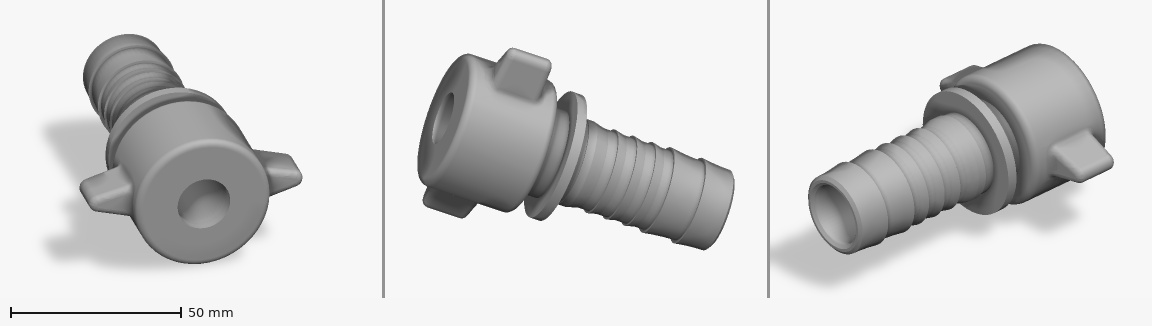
import cadquery as cq
import math

total_length = 88.5

bore_entry_diameter = 19.0
bore_exit_diameter = 16.0
bore_step_start = 50.9
bore_step_length = 0.9
tip_face_outer_diameter = 22.7
tip_face_inner_diameter = 20.9
tip_bevel_length = 0.9
tip_diameter = 24.9
root_diameter = 24.5
large_barb_diameter = 26.5
large_barb_ends = [10.0, 20.1]
barb_curve_sag = 0.2
small_barb_diameter = 25.9
small_barb_start = 23.0
small_barb_length = 2.9
small_barb_pitch = 6.0
small_barb_count = 3
stop_cone_start = 41.0
stop_start = 44.9
stop_end = 47.5
stop_diameter = 26.5
sleeve_diameter = 25.7
collar_start = 50.9
collar_thickness = 3.1
collar_diameter = 39.0
neck_diameter = 27.0

nut_start = 60.3
nut_diameter = 41.0
nut_edge_radius = 2.0
nut_center = (nut_start + total_length) / 2

wing_span = 65.0
wing_tip_y = wing_span / 2
wing_root_y = 17.7
wing_tip_length = 14.0
wing_tip_thickness = 4.1
wing_end_draft = 3.0
wing_face_draft = 14.5
wing_tip_radius = 2.6
wing_edge_radius = 1.95
wing_base_radius = 1.8

joint_reach = 9.7
joint_margin = 0.1
joint_outer_y = nut_diameter / 2 + joint_margin


def add_large_barb(profile, start, start_diameter, end):
    """Trace a slightly hollow rising flank and drop back to the root diameter."""
    middle_radius = (start_diameter + large_barb_diameter) / 4 - barb_curve_sag
    profile = profile.threePointArc(((start + end) / 2, middle_radius), (end, large_barb_diameter / 2))
    return profile.lineTo(end, root_diameter / 2)


def make_tail():
    """Revolve the barbed hose tail, its collar and its stepped bore."""
    first_end, second_end = large_barb_ends
    bevel_depth = (tip_face_inner_diameter - bore_entry_diameter) / 2
    collar_end = collar_start + collar_thickness
    profile = (
        cq.Workplane("XY")
        .moveTo(bevel_depth, bore_entry_diameter / 2)
        .lineTo(0, tip_face_inner_diameter / 2)
        .lineTo(0, tip_face_outer_diameter / 2)
        .lineTo(tip_bevel_length, tip_diameter / 2)
    )
    profile = add_large_barb(profile, tip_bevel_length, tip_diameter, first_end)
    profile = add_large_barb(profile, first_end, root_diameter, second_end)
    for index in range(small_barb_count):
        start = small_barb_start + index * small_barb_pitch
        end = start + small_barb_length
        profile = (
            profile.lineTo(start, root_diameter / 2)
            .lineTo(end, small_barb_diameter / 2)
            .lineTo(end, root_diameter / 2)
        )
    return (
        profile.lineTo(stop_cone_start, root_diameter / 2)
        .lineTo(stop_start, stop_diameter / 2)
        .lineTo(stop_end, stop_diameter / 2)
        .lineTo(stop_end, sleeve_diameter / 2)
        .lineTo(collar_start, sleeve_diameter / 2)
        .lineTo(collar_start, collar_diameter / 2)
        .lineTo(collar_end, collar_diameter / 2)
        .lineTo(collar_end, neck_diameter / 2)
        .lineTo(total_length, neck_diameter / 2)
        .lineTo(total_length, bore_exit_diameter / 2)
        .lineTo(bore_step_start + bore_step_length, bore_exit_diameter / 2)
        .lineTo(bore_step_start, bore_entry_diameter / 2)
        .close()
        .revolve(360, (0, 0, 0), (1, 0, 0))
    )


def make_wing():
    """Loft one drafted wing along +Y and round its tip and ends, leaving its root face sharp."""
    height = wing_tip_y - wing_root_y
    root_length = wing_tip_length + 2 * height * math.tan(math.radians(wing_end_draft))
    root_thickness = wing_tip_thickness + 2 * height * math.tan(math.radians(wing_face_draft))
    return (
        cq.Workplane("XZ", origin=(nut_center, wing_root_y, 0))
        .rect(root_length, root_thickness)
        .workplane(offset=-height)
        .rect(wing_tip_length, wing_tip_thickness)
        .loft()
        .faces(">Y")
        .edges("|X")
        .fillet(wing_tip_radius)
        .faces("<X or >X")
        .edges("not <Y")
        .fillet(wing_edge_radius)
    )


def make_nut():
    """Make the round nut with two opposite wings and a hole that fits the neck."""
    nut = (
        cq.Workplane("YZ", origin=(nut_start, 0, 0))
        .circle(nut_diameter / 2)
        .extrude(total_length - nut_start)
        .edges()
        .fillet(nut_edge_radius)
    )
    wing = make_wing()
    for angle in (0, 180):
        nut = nut.union(wing.rotate((0, 0, 0), (1, 0, 0), angle))

    for side in (-1, 1):
        y_limits = sorted((side * wing_root_y, side * joint_outer_y))
        joint_box = cq.selectors.BoxSelector(
            (nut_center - joint_reach, y_limits[0], -joint_reach),
            (nut_center + joint_reach, y_limits[1], joint_reach),
            boundingbox=True,
        )
        nut = nut.edges(joint_box).fillet(wing_base_radius)

    hole = (
        cq.Workplane("YZ", origin=(nut_start, 0, 0))
        .circle(neck_diameter / 2)
        .extrude(total_length - nut_start)
    )
    return nut.cut(hole)


tail = make_tail()
wing_nut = make_nut()
result = cq.Compound.makeCompound([tail.val(), wing_nut.val()])